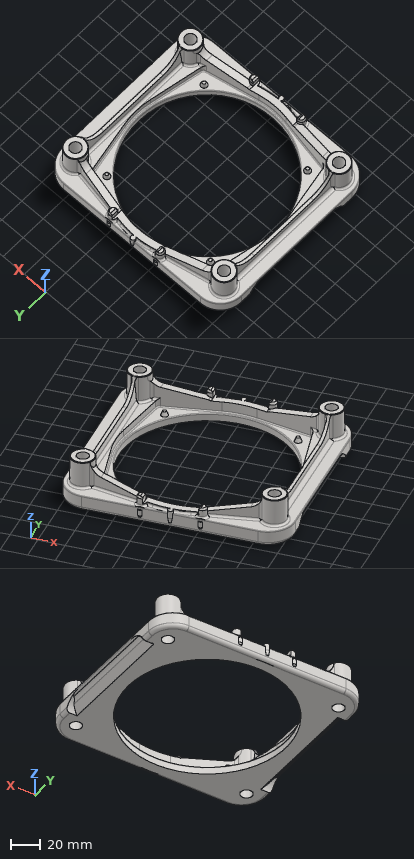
import cadquery as cq
import math

LENGTH = 168
WIDTH = 150.2
PLATE_TOP = 12.0
PLATE_CORNER = 19.8
PLATE_BOTTOM_ROUND = 3.0
PLATE_TOP_ROUND = 0.5

BORE_RADIUS = 128.0 / 2
BORE_EDGE_ROUND = 0.7
RECESS_FLOOR = 6.0
RECESS_RADIUS = 66.5
RECESS_CORNER = 3.4
RECESS_FLOOR_ROUND = 0.8
FLANK_ANGLE = math.radians(11)

BOSS_X = 69.7
BOSS_Y = 57.5
BOSS_TOP = 33.0
BOSS_RADIUS = 8.99
BOSS_HOLE = 9.0
BOSS_TOP_CHAMFER = 0.5

RAIL_OUTER = 71.9
RAIL_INNER_FOOT = 68.9
RAIL_INNER_TOP = 69.9
RAIL_TOP = 19.3
RAIL_SWEEP = 20.0
RAIL_SWEEP_END = 29.5
RAIL_FOOT_ROUND = 3.0
RAIL_INNER_FOOT_ROUND = 2.2

ARM_WIDTH = 5.9
RIM_TOP = 14.3
ARM_SLOPE = math.radians(12)
ARM_SLOPE_START = (54.5, 22.0)
ARM_SWEEP = 10
ARM_STEP_OUTER = 22.0
ARM_STEP_INNER = 20.3
FOOT_ROUND = 1.7
WEB_ROUND = 3.0

PEG_X = 22.0
PEG_Y = 70.5
PEG_TOP = 20.2
PEG_RADIUS = 3.5
PEG_CHAMFER_HEIGHT = 1.7
PEG_CHAMFER_WIDTH = 1.0
KEY_RADIUS = 1.8
KEY_BOTTOM = 4.2
KEY_TOP = 10.2
KEY_CHAMFER_HEIGHT = 1.5
KEY_CHAMFER_WIDTH = 0.7

OUTER_WIDTH = 152.2
LOCATOR_RADIUS = 2.0
LOCATOR_SHOULDER = 8.4
LOCATOR_TIP = 4.4
LOCATOR_TIP_RADIUS = 1.3

STUD_OFFSET = 48.5
STUD_HEIGHT = 3.4
STUD_BASE_RADIUS = 2.7
STUD_TOP_RADIUS = 1.3

RELIEF_TOP = 9.9
RELIEF_HALF_LENGTH = 47.9
RELIEF_END_RUN = 14.0
RELIEF_FOOT_X = 75.1
RELIEF_KNEE = (80.0, 5.7)
RELIEF_KNEE_ROUND = 5
RELIEF_LIP = (82.7, 8.5)
RELIEF_LIP_ROUND = 1.3

SIGNS = (1, -1)
BOSS_CENTRES = [(sx * BOSS_X, sy * BOSS_Y) for sx in SIGNS for sy in SIGNS]


def both_ends_y(body):
    return body.union(body.mirror("XZ"))


def both_ends_x(body):
    return body.union(body.mirror("YZ"))


def flank_y(radius, x):
    """Y of the sloping flank that is tangent to a circle of the given radius."""
    return radius / math.cos(FLANK_ANGLE) - abs(x) * math.tan(FLANK_ANGLE)


def tangent_point(radius):
    return radius * math.sin(FLANK_ANGLE), radius * math.cos(FLANK_ANGLE)


def plate():
    body = cq.Workplane("XY").rect(LENGTH, WIDTH).extrude(PLATE_TOP)
    body = body.edges("|Z").fillet(PLATE_CORNER)
    body = body.faces("<Z").edges().fillet(PLATE_BOTTOM_ROUND)
    return body.faces(">Z").edges().fillet(PLATE_TOP_ROUND)


def flared_post(radius, top):
    """Round post at the origin with a flared foot."""
    profile = (
        cq.Workplane("XZ")
        .moveTo(0, RECESS_FLOOR)
        .lineTo(radius + FOOT_ROUND, RECESS_FLOOR)
        .lineTo(radius + FOOT_ROUND, PLATE_TOP)
        .radiusArc((radius, PLATE_TOP + FOOT_ROUND), FOOT_ROUND)
        .lineTo(radius, top)
        .lineTo(0, top)
        .close()
    )
    return profile.revolve(360, (0, 0, 0), (0, 1, 0))


def rail_gap():
    """Space above the rail at +X, with a round sweep at both ends."""
    rise = BOSS_TOP - RAIL_TOP
    sweep_run = math.sqrt(RAIL_SWEEP**2 - (RAIL_SWEEP - rise) ** 2)
    return (
        cq.Workplane("YZ")
        .moveTo(-RAIL_SWEEP_END, RAIL_TOP)
        .lineTo(RAIL_SWEEP_END, RAIL_TOP)
        .radiusArc((RAIL_SWEEP_END + sweep_run, BOSS_TOP), -RAIL_SWEEP)
        .lineTo(-RAIL_SWEEP_END - sweep_run, BOSS_TOP)
        .radiusArc((-RAIL_SWEEP_END, RAIL_TOP), -RAIL_SWEEP)
        .close()
        .extrude(LENGTH)
    )


def rail():
    """Rail at +X: a thin wall with rounded feet, its top sweeping up to the bosses."""
    inner_foot_top = PLATE_TOP + RAIL_INNER_FOOT_ROUND
    wall = (
        cq.Workplane("XZ", origin=(0, BOSS_Y, 0))
        .moveTo(RAIL_OUTER + RAIL_FOOT_ROUND, PLATE_TOP - 1.7)
        .lineTo(RAIL_OUTER + RAIL_FOOT_ROUND, PLATE_TOP)
        .radiusArc((RAIL_OUTER, PLATE_TOP + RAIL_FOOT_ROUND), RAIL_FOOT_ROUND)
        .lineTo(RAIL_OUTER, BOSS_TOP)
        .lineTo(RAIL_INNER_TOP, BOSS_TOP)
        .lineTo(RAIL_INNER_FOOT, inner_foot_top)
        .radiusArc((RAIL_INNER_FOOT - RAIL_INNER_FOOT_ROUND, PLATE_TOP), RAIL_INNER_FOOT_ROUND)
        .lineTo(RAIL_INNER_FOOT - RAIL_INNER_FOOT_ROUND, PLATE_TOP - 1.7)
        .close()
        .extrude(2 * BOSS_Y)
    )
    return wall.cut(rail_gap())


def strip(height):
    """Bent strip along the +Y side, running from boss to boss."""
    inner = RECESS_RADIUS
    outer = RECESS_RADIUS + ARM_WIDTH
    inner_x, inner_y = tangent_point(inner)
    outer_x, outer_y = tangent_point(outer)
    return (
        cq.Workplane("XY")
        .moveTo(-BOSS_X, flank_y(outer, BOSS_X))
        .lineTo(-outer_x, outer_y)
        .threePointArc((0, outer), (outer_x, outer_y))
        .lineTo(BOSS_X, flank_y(outer, BOSS_X))
        .lineTo(BOSS_X, flank_y(inner, BOSS_X))
        .lineTo(inner_x, inner_y)
        .threePointArc((0, inner), (-inner_x, inner_y))
        .lineTo(-BOSS_X, flank_y(inner, BOSS_X))
        .close()
        .extrude(height)
    )


def arm_envelope():
    """Everything below the side outline of the arms and the rim."""
    start_x, start_z = ARM_SLOPE_START
    centre_x = start_x - ARM_SWEEP * math.sin(ARM_SLOPE)
    centre_z = start_z + ARM_SWEEP * math.cos(ARM_SLOPE)
    head_rise = BOSS_TOP - centre_z
    head_x = centre_x + math.sqrt(ARM_SWEEP**2 - head_rise**2)
    step_z = start_z - (start_x - ARM_STEP_OUTER) * math.tan(ARM_SLOPE)
    outline = (
        cq.Workplane("XZ")
        .moveTo(0, 0)
        .lineTo(0, RIM_TOP)
        .lineTo(ARM_STEP_INNER, RIM_TOP)
        .lineTo(ARM_STEP_OUTER, step_z)
        .lineTo(start_x, start_z)
        .radiusArc((head_x, BOSS_TOP), -ARM_SWEEP)
        .lineTo(LENGTH / 2, BOSS_TOP)
        .lineTo(LENGTH / 2, 0)
        .close()
        .extrude(WIDTH / 2, both=True)
    )
    return both_ends_x(outline)


def arms():
    return both_ends_y(strip(BOSS_TOP)).intersect(arm_envelope())


def webs():
    """Bosses and wall cores joined by upright rounds, trimmed to the side outlines of the walls."""
    height = BOSS_TOP - BOSS_TOP_CHAMFER
    cores = cq.Workplane("XY").pushPoints(BOSS_CENTRES).circle(BOSS_RADIUS).extrude(height)
    rail_centre = (RAIL_OUTER + RAIL_INNER_TOP) / 2
    rail_cores = (
        cq.Workplane("XY")
        .pushPoints([(rail_centre, 0), (-rail_centre, 0)])
        .rect(RAIL_OUTER - RAIL_INNER_TOP, 2 * BOSS_Y)
        .extrude(height)
    )
    cores = cores.union(both_ends_y(strip(height))).union(rail_cores)
    for x, y in BOSS_CENTRES:
        inner_x = math.copysign(BOSS_X - BOSS_RADIUS - 1.7, x)
        outer_x = math.copysign(RAIL_OUTER + 1.7, x)
        around_boss = cq.selectors.BoxSelector(
            (inner_x, y - BOSS_RADIUS - 1.7, 0), (outer_x, y + BOSS_RADIUS + 1.7, BOSS_TOP)
        )
        cores = cores.edges("|Z").edges(around_boss).fillet(WEB_ROUND)
    return cores.cut(both_ends_x(rail_gap())).intersect(arm_envelope())


def recess_outline():
    """Square with four leaning flanks on every corner and a round bulge on every side."""
    tangent_x, tangent_y = tangent_point(RECESS_RADIUS)
    corner = RECESS_RADIUS / (math.cos(FLANK_ANGLE) + math.sin(FLANK_ANGLE))
    return (
        cq.Workplane("XY", origin=(0, 0, RECESS_FLOOR))
        .moveTo(-tangent_x, tangent_y)
        .threePointArc((0, RECESS_RADIUS), (tangent_x, tangent_y))
        .lineTo(corner, corner)
        .lineTo(tangent_y, tangent_x)
        .threePointArc((RECESS_RADIUS, 0), (tangent_y, -tangent_x))
        .lineTo(corner, -corner)
        .lineTo(tangent_x, -tangent_y)
        .threePointArc((0, -RECESS_RADIUS), (-tangent_x, -tangent_y))
        .lineTo(-corner, -corner)
        .lineTo(-tangent_y, -tangent_x)
        .threePointArc((-RECESS_RADIUS, 0), (-tangent_y, tangent_x))
        .lineTo(-corner, corner)
        .close()
    )


def recess():
    body = recess_outline().extrude(BOSS_TOP)
    corner_edges = cq.selectors.BoxSelector((-60.5, -60.5, 0), (60.5, 60.5, 50.4))
    body = body.edges("|Z").edges(corner_edges).fillet(RECESS_CORNER)
    return body.faces("<Z").edges().fillet(RECESS_FLOOR_ROUND)


def bore():
    """Through bore with a rounded upper edge at the recess floor."""
    mouth = BORE_RADIUS + BORE_EDGE_ROUND
    profile = (
        cq.Workplane("XZ")
        .lineTo(BORE_RADIUS, 0)
        .lineTo(BORE_RADIUS, RECESS_FLOOR - BORE_EDGE_ROUND)
        .radiusArc((mouth, RECESS_FLOOR), BORE_EDGE_ROUND)
        .lineTo(0, RECESS_FLOOR)
        .close()
    )
    return profile.revolve(360, (0, 0, 0), (0, 1, 0))


def peg():
    """Peg at +X +Y; above the rim, a flat on it faces the middle of the part."""
    post = flared_post(PEG_RADIUS, PEG_TOP).translate((PEG_X, PEG_Y, 0))
    within_plate = cq.Workplane("XY").box(LENGTH, WIDTH - 2 * PLATE_TOP_ROUND, LENGTH)
    above_rim = cq.Workplane("XY", origin=(0, 0, RIM_TOP))
    flat = above_rim.rect(2 * ARM_STEP_INNER, WIDTH).extrude(BOSS_TOP)
    body = post.intersect(within_plate).cut(flat)
    return body.faces(">Z").chamfer(PEG_CHAMFER_HEIGHT, PEG_CHAMFER_WIDTH)


def key():
    """Half-round key on the outer side of the plate, below the peg at +X."""
    return (
        cq.Workplane("XY", origin=(PEG_X, OUTER_WIDTH / 2 - KEY_RADIUS, KEY_BOTTOM))
        .circle(KEY_RADIUS)
        .extrude(KEY_TOP - KEY_BOTTOM)
        .faces("<Z")
        .chamfer(KEY_CHAMFER_HEIGHT, KEY_CHAMFER_WIDTH)
    )


def locator():
    """Upright round locator at the middle of the +Y side, tapering downwards."""
    profile = (
        cq.Workplane("XZ", origin=(0, OUTER_WIDTH / 2 - LOCATOR_RADIUS, 0))
        .moveTo(0, LOCATOR_TIP)
        .lineTo(LOCATOR_TIP_RADIUS, LOCATOR_TIP)
        .lineTo(LOCATOR_RADIUS, LOCATOR_SHOULDER)
        .lineTo(LOCATOR_RADIUS, RIM_TOP)
        .lineTo(0, RIM_TOP)
        .close()
    )
    return profile.revolve(360, (0, 0, 0), (0, 1, 0))


def stud():
    return cq.Workplane(
        cq.Solid.makeCone(STUD_BASE_RADIUS, STUD_TOP_RADIUS, STUD_HEIGHT, cq.Vector(0, 0, RECESS_FLOOR))
    )


def relief():
    """Cutter under the +X side: an arched pocket with a sloping back."""
    slope = (
        cq.Workplane("XZ", origin=(0, RELIEF_HALF_LENGTH, 0))
        .moveTo(RELIEF_FOOT_X, 0)
        .lineTo(*RELIEF_KNEE)
        .radiusArc(RELIEF_LIP, RELIEF_KNEE_ROUND)
        .radiusArc((LENGTH / 2, RELIEF_TOP), -RELIEF_LIP_ROUND)
        .lineTo(LENGTH, RELIEF_TOP)
        .lineTo(LENGTH, 0)
        .close()
        .extrude(2 * RELIEF_HALF_LENGTH)
    )
    straight = RELIEF_HALF_LENGTH - RELIEF_END_RUN
    radius = (RELIEF_END_RUN**2 + RELIEF_TOP**2) / (2 * RELIEF_TOP)
    arch = (
        cq.Workplane("YZ")
        .moveTo(-RELIEF_HALF_LENGTH, 0)
        .radiusArc((-straight, RELIEF_TOP), radius)
        .lineTo(straight, RELIEF_TOP)
        .radiusArc((RELIEF_HALF_LENGTH, 0), radius)
        .close()
        .extrude(LENGTH)
    )
    return slope.intersect(arch)


result = plate().union(arms())
foot_edges = cq.selectors.BoxSelector(
    (-BOSS_X, -WIDTH / 2 + 0.8, PLATE_TOP - 0.2), (BOSS_X, WIDTH / 2 - 0.8, PLATE_TOP + 0.2), True
)
result = result.edges(foot_edges).fillet(FOOT_ROUND)
result = result.union(webs())
result = result.union(both_ends_x(rail()))
for x, y in BOSS_CENTRES:
    boss = flared_post(BOSS_RADIUS, BOSS_TOP).faces(">Z").chamfer(BOSS_TOP_CHAMFER)
    result = result.union(boss.translate((x, y, 0)))
result = result.union(both_ends_x(both_ends_y(peg().union(key()))))
result = result.union(both_ends_y(locator()))
result = result.cut(recess()).cut(bore()).cut(both_ends_x(relief()))
for x in SIGNS:
    for y in SIGNS:
        result = result.union(stud().translate((x * STUD_OFFSET, y * STUD_OFFSET, 0)))
result = result.cut(cq.Workplane("XY").pushPoints(BOSS_CENTRES).circle(BOSS_HOLE / 2).extrude(BOSS_TOP))